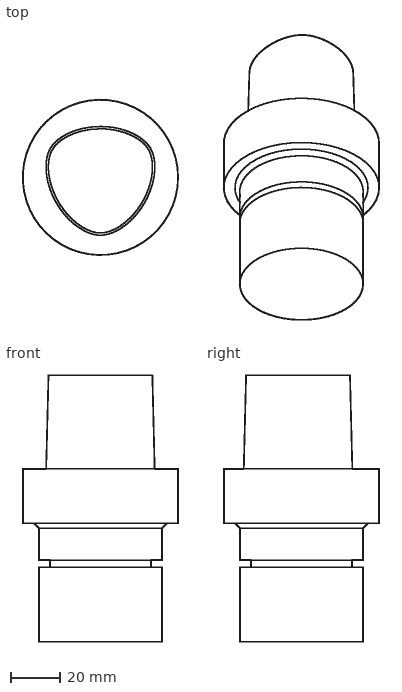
import cadquery as cq
import math

TOTAL_HEIGHT = 108.0
NUT_HEIGHT = 30.2
NECK_TOP = 33.0
FLANGE_BOTTOM = 48.0
FLANGE_TOP = 70.0

BODY_DIAMETER = 50.0
NECK_DIAMETER = 41.0
FLANGE_DIAMETER = 63.0
CONE_HEIGHT = 1.9

SHANK_WIDTH = 44.1
LOBE_HEIGHT = 1.4
LOBES = 3
TAPER = 1 / 20
POINTS_PER_LOBE = 12

SHANK_LENGTH = TOTAL_HEIGHT - FLANGE_TOP


def lobed_point(angle, width):
    """Point of a constant-width curve whose outward normal has this angle; one lobe faces -Y."""
    lobe_angle = LOBES * angle
    reach = width / 2 + LOBE_HEIGHT * math.sin(lobe_angle)
    slide = LOBES * LOBE_HEIGHT * math.cos(lobe_angle)
    x = reach * math.cos(angle) - slide * math.sin(angle)
    y = reach * math.sin(angle) + slide * math.cos(angle)
    return x, y


def lobed_outline(width):
    """Points around the closed curve, starting in the middle of its flat +Y side."""
    count = LOBES * POINTS_PER_LOBE
    return [lobed_point(math.pi / 2 + 2 * math.pi * i / count, width) for i in range(count)]


def make_shank():
    top_width = SHANK_WIDTH - TAPER * SHANK_LENGTH
    return (
        cq.Workplane("XY")
        .workplane(offset=FLANGE_TOP)
        .spline(lobed_outline(SHANK_WIDTH), periodic=True)
        .close()
        .workplane(offset=SHANK_LENGTH)
        .spline(lobed_outline(top_width), periodic=True)
        .close()
        .loft(ruled=True)
    )


def make_holder():
    """Neck, collar, cone and flange turned in one profile, with the lobed shank on top."""
    neck_radius = NECK_DIAMETER / 2
    body_radius = BODY_DIAMETER / 2
    flange_radius = FLANGE_DIAMETER / 2
    cone_bottom = FLANGE_BOTTOM - CONE_HEIGHT
    profile = [
        (0, NUT_HEIGHT),
        (neck_radius, NUT_HEIGHT),
        (neck_radius, NECK_TOP),
        (body_radius, NECK_TOP),
        (body_radius, cone_bottom),
        (body_radius + CONE_HEIGHT, FLANGE_BOTTOM),
        (flange_radius, FLANGE_BOTTOM),
        (flange_radius, FLANGE_TOP),
        (0, FLANGE_TOP),
    ]
    turned = cq.Workplane("XZ").polyline(profile).close().revolve(360, (0, 0), (0, 1))
    return turned.union(make_shank())


def make_nut():
    """Plain cylinder whose top face carries the neck of the holder."""
    return cq.Workplane("XY").circle(BODY_DIAMETER / 2).extrude(NUT_HEIGHT)


holder = make_holder()
nut = make_nut()

result = cq.Compound.makeCompound([holder.solids().val(), nut.val()])